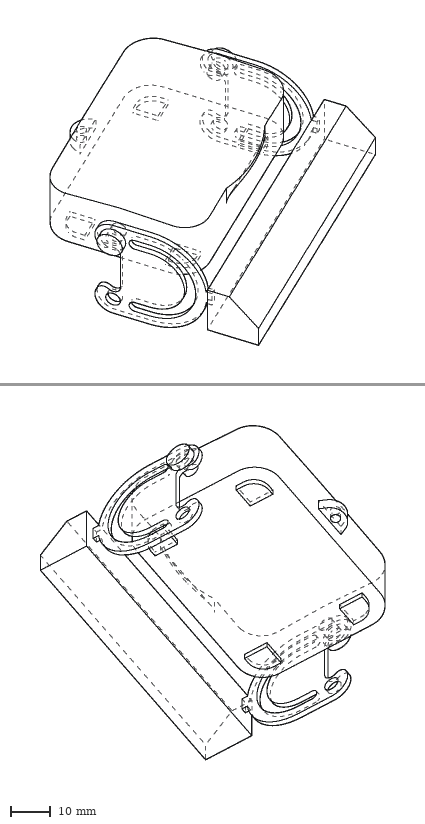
import cadquery as cq
import math


COVER_LENGTH_X = 43.0
COVER_WIDTH_Y = 60.0
COVER_CORNER_RADIUS = 7.5
RIM_HEIGHT = 5.3
CROWN_HEIGHT = 17.9
DOME_RADIUS_X = 173.15
DOME_RADIUS_Y = 865.8
COVER_HALF_X = COVER_LENGTH_X / 2
COVER_HALF_Y = COVER_WIDTH_Y / 2

LIP_REACH = 2.3
LIP_HALF_WIDTH = 12.1
LIP_BASE_Z = 11.3
LIP_UNDERCUT_RADIUS = 4.3

TAB_REACH = 4.5
TAB_ROOT_HALF_WIDTH = 5.0
TAB_NOSE_HALF_WIDTH = 3.9
TAB_FLANK_REACH = 2.3
TAB_THICKNESS = 3.2
TAB_HOLE_DIAMETER = 2.5
TAB_HOLE_OFFSET = 1.8

FOOT_LENGTH_X = 6.8
FOOT_WIDTH_Y = 6.3
FOOT_HEIGHT = 1.6
FOOT_INSET = 3.7
FOOT_CORNER_RADIUS = 4.6

PIN_Z = 9.9
PIN_DIAMETER = 4.0
PIN_HEAD_DIAMETER = 6.95
PIN_HEAD_THICKNESS = 2.15

ARM_THICKNESS = 1.5
ARM_OUTER_Y = 34.05
ARM_INNER_Y = ARM_OUTER_Y - ARM_THICKNESS
HOLE_SPACING = 21.0
LOBE_RADIUS = 4.95
HOOK_RADIUS = 2.0
NOTCH_RADIUS = 2.0
NOTCH_OFFSET = 4.7
BOW_CENTER_X = 10.1
SLOT_WIDTH = 3.0
SLOT_MID_RADIUS = 10.95
SLOT_START_X = 5.9
ARM_MID_Z = PIN_Z - HOLE_SPACING / 2
BOW_RADIUS = HOLE_SPACING / 2 + LOBE_RADIUS

BAR_LENGTH_Y = 74.0
BAR_SIZE = 14.0
BAR_CHAMFER = 8.0
BAR_START_X = 27.0
BAR_TOP_Z = RIM_HEIGHT
STEM_HEIGHT = 4.0


def dome_drop(x):
    """Fall of the domed top below its crown at distance x from the pivot."""
    return DOME_RADIUS_X - math.sqrt(DOME_RADIUS_X**2 - x**2)


def dome_envelope():
    """Barrel whose upper skin is the domed top; two faces meet on it at X = 0.

    The half turn puts the seam of the revolved skin away from the cover.
    """
    reach = COVER_HALF_X + 2 * LIP_REACH
    axis_z = CROWN_HEIGHT - DOME_RADIUS_Y

    def on_dome(x):
        return (x, CROWN_HEIGHT - dome_drop(x))

    return (
        cq.Workplane("XZ")
        .moveTo(-reach, axis_z)
        .lineTo(*on_dome(-reach))
        .threePointArc(on_dome(-reach / 2), on_dome(0))
        .threePointArc(on_dome(reach / 2), on_dome(reach))
        .lineTo(reach, axis_z)
        .close()
        .revolve(360, (0, axis_z, 0), (1, axis_z, 0))
        .rotate((0, 0, axis_z), (1, 0, axis_z), 180)
    )


def cover_block(bottom, top):
    return (
        cq.Workplane("XY", origin=(0, 0, bottom))
        .rect(COVER_LENGTH_X, COVER_WIDTH_Y)
        .extrude(top - bottom)
        .edges("|Z")
        .fillet(COVER_CORNER_RADIUS)
    )


def finger_lip():
    """Bowed ledge along the top of the +X side, hollowed underneath."""
    lip = (
        cq.Workplane("XY", origin=(0, 0, LIP_BASE_Z))
        .moveTo(COVER_HALF_X, -LIP_HALF_WIDTH)
        .threePointArc((COVER_HALF_X + LIP_REACH, 0), (COVER_HALF_X, LIP_HALF_WIDTH))
        .close()
        .extrude(CROWN_HEIGHT - LIP_BASE_Z)
    )
    undercut = (
        cq.Workplane("XZ")
        .center(COVER_HALF_X + LIP_UNDERCUT_RADIUS, LIP_BASE_Z)
        .circle(LIP_UNDERCUT_RADIUS)
        .extrude(COVER_HALF_Y, both=True)
    )
    return lip.cut(undercut)


def tether_tab():
    """Tab standing on the parting line, without its hole."""
    nose_start_x = -COVER_HALF_X - TAB_FLANK_REACH
    tip = (-COVER_HALF_X - TAB_REACH, 0)
    return (
        cq.Workplane("XY", origin=(0, 0, RIM_HEIGHT))
        .moveTo(-COVER_HALF_X, -TAB_ROOT_HALF_WIDTH)
        .lineTo(-COVER_HALF_X, TAB_ROOT_HALF_WIDTH)
        .lineTo(nose_start_x, TAB_NOSE_HALF_WIDTH)
        .threePointArc(tip, (nose_start_x, -TAB_NOSE_HALF_WIDTH))
        .close()
        .extrude(TAB_THICKNESS)
    )


def tether_hole():
    return (
        cq.Workplane("XY", origin=(-COVER_HALF_X - TAB_HOLE_OFFSET, 0, RIM_HEIGHT))
        .circle(TAB_HOLE_DIAMETER / 2)
        .extrude(TAB_THICKNESS)
    )


def foot(side_x, side_y):
    """Pad under one corner, its outer corner rounded like the cover."""
    center_x = side_x * (COVER_HALF_X - FOOT_INSET - FOOT_LENGTH_X / 2)
    center_y = side_y * (COVER_HALF_Y - FOOT_INSET - FOOT_WIDTH_Y / 2)
    outer_corner = ("<X" if side_x < 0 else ">X") + " and " + ("<Y" if side_y < 0 else ">Y")
    return (
        cq.Workplane("XY")
        .box(FOOT_LENGTH_X, FOOT_WIDTH_Y, FOOT_HEIGHT, centered=(True, True, False))
        .edges("|Z and " + outer_corner)
        .fillet(FOOT_CORNER_RADIUS)
        .translate((center_x, center_y, -FOOT_HEIGHT))
    )


def y_cylinder(diameter, start_y, length):
    """Cylinder on the pivot axis, running from start_y toward +Y."""
    return (
        cq.Workplane("XZ", origin=(0, start_y, PIN_Z))
        .circle(diameter / 2)
        .extrude(-length)
    )


def pivot_pin():
    """Headed pin on the +Y side of the cover; the arm sits between head and cover."""
    shaft = y_cylinder(PIN_DIAMETER, COVER_HALF_Y, ARM_OUTER_Y - COVER_HALF_Y)
    head = y_cylinder(PIN_HEAD_DIAMETER, ARM_OUTER_Y, PIN_HEAD_THICKNESS)
    return shaft.union(head)


def make_cover():
    lid = cover_block(RIM_HEIGHT, CROWN_HEIGHT).union(finger_lip())
    lid = lid.intersect(dome_envelope(), clean=False)
    lid = lid.union(tether_tab(), clean=False).cut(tether_hole(), clean=False)
    cover = lid.union(cover_block(0, RIM_HEIGHT), clean=False)
    for side_x in (-1, 1):
        for side_y in (-1, 1):
            cover = cover.union(foot(side_x, side_y), clean=False)
    pin = pivot_pin()
    return cover.union(pin, clean=False).union(pin.mirror("XZ"), clean=False)


def lobe_outline_points():
    """Key points of the lower lobe, in X and Z measured from its hole centre.

    The hook tip is a circle that touches the lobe circle from inside and
    the notch circle from outside.
    """
    to_lobe = LOBE_RADIUS - HOOK_RADIUS
    to_notch = NOTCH_RADIUS + HOOK_RADIUS
    hook_z = (to_lobe**2 - to_notch**2 + NOTCH_OFFSET**2) / (2 * NOTCH_OFFSET)
    hook_x = -math.sqrt(to_lobe**2 - hook_z**2)
    outer_scale = LOBE_RADIUS / to_lobe
    notch_share = NOTCH_RADIUS / to_notch
    return {
        "lobe_side": (-LOBE_RADIUS, 0),
        "hook_start": (hook_x * outer_scale, hook_z * outer_scale),
        "hook_top": (hook_x, hook_z + HOOK_RADIUS),
        "hook_end": (hook_x * notch_share, NOTCH_OFFSET + (hook_z - NOTCH_OFFSET) * notch_share),
        "notch_bottom": (0, NOTCH_OFFSET - NOTCH_RADIUS),
        "notch_end": (NOTCH_RADIUS, NOTCH_OFFSET),
    }


def arm_profile():
    """Bow-shaped plate outline, symmetric about the arm's mid height."""
    points = lobe_outline_points()

    def lower(name):
        x, z = points[name]
        return (x, z - HOLE_SPACING / 2)

    def upper(name):
        x, z = points[name]
        return (x, HOLE_SPACING / 2 - z)

    return (
        cq.Workplane("XZ", origin=(0, ARM_INNER_Y, ARM_MID_Z))
        .moveTo(0, -BOW_RADIUS)
        .lineTo(BOW_CENTER_X, -BOW_RADIUS)
        .threePointArc((BOW_CENTER_X + BOW_RADIUS, 0), (BOW_CENTER_X, BOW_RADIUS))
        .lineTo(0, BOW_RADIUS)
        .threePointArc(upper("lobe_side"), upper("hook_start"))
        .threePointArc(upper("hook_top"), upper("hook_end"))
        .threePointArc(upper("notch_bottom"), upper("notch_end"))
        .lineTo(*lower("notch_end"))
        .threePointArc(lower("notch_bottom"), lower("hook_end"))
        .threePointArc(lower("hook_top"), lower("hook_start"))
        .threePointArc(lower("lobe_side"), (0, -BOW_RADIUS))
        .close()
    )


def arm_slot():
    """Curved slot following the bow, with round ends."""
    outer = SLOT_MID_RADIUS + SLOT_WIDTH / 2
    inner = SLOT_MID_RADIUS - SLOT_WIDTH / 2
    end_x = SLOT_START_X - SLOT_WIDTH / 2
    return (
        cq.Workplane("XZ", origin=(0, ARM_INNER_Y, ARM_MID_Z))
        .moveTo(SLOT_START_X, -outer)
        .lineTo(BOW_CENTER_X, -outer)
        .threePointArc((BOW_CENTER_X + outer, 0), (BOW_CENTER_X, outer))
        .lineTo(SLOT_START_X, outer)
        .threePointArc((end_x, SLOT_MID_RADIUS), (SLOT_START_X, inner))
        .lineTo(BOW_CENTER_X, inner)
        .threePointArc((BOW_CENTER_X + inner, 0), (BOW_CENTER_X, -inner))
        .lineTo(SLOT_START_X, -inner)
        .threePointArc((end_x, -SLOT_MID_RADIUS), (SLOT_START_X, -outer))
        .close()
        .extrude(-ARM_THICKNESS)
    )


def lever_arm():
    """Arm on the +Y side with its slot, two pin holes and stem."""
    slot_outer_x = BOW_CENTER_X + SLOT_MID_RADIUS + SLOT_WIDTH / 2
    holes = y_cylinder(PIN_DIAMETER, ARM_INNER_Y, ARM_THICKNESS)
    holes = holes.union(holes.translate((0, 0, -HOLE_SPACING)))
    stem = cq.Workplane("XY").box(
        BAR_START_X - slot_outer_x,
        ARM_THICKNESS,
        STEM_HEIGHT,
        centered=(False, False, True),
    )
    stem = stem.translate((slot_outer_x, ARM_INNER_Y, ARM_MID_Z))
    return arm_profile().extrude(-ARM_THICKNESS).union(stem).cut(arm_slot()).cut(holes)


def handle_bar():
    return (
        cq.Workplane("XY", origin=(BAR_START_X, 0, BAR_TOP_Z - BAR_SIZE))
        .box(BAR_SIZE, BAR_LENGTH_Y, BAR_SIZE, centered=(False, True, False))
        .edges(">X and >Z")
        .chamfer(BAR_CHAMFER)
    )


def make_lever():
    arm = lever_arm()
    return handle_bar().union(arm).union(arm.mirror("XZ"))


cover = make_cover()
lever = make_lever()

result = cq.Compound.makeCompound([*cover.solids().vals(), *lever.solids().vals()])